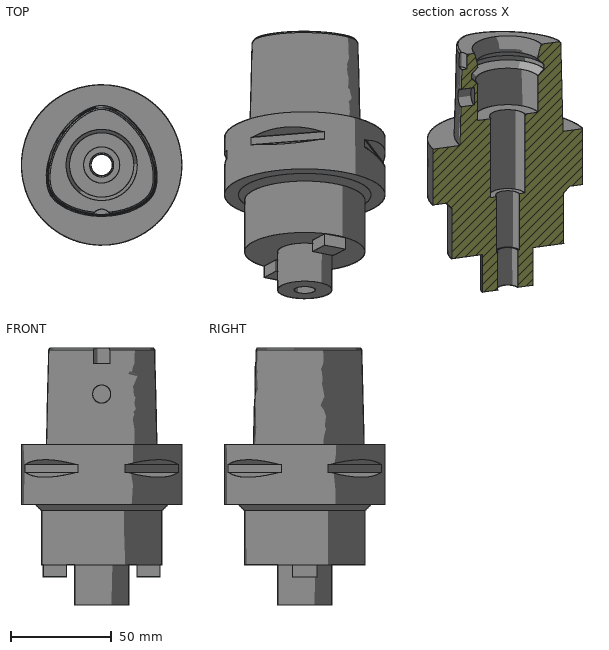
import math

import cadquery as cq


shank_length = 48.0
shank_base_radius = 27.6
lobe_count = 3
lobe_height = 2.0
taper_per_side = 1 / 40
rim_bevel_height = 1.0
rim_bevel_width = 0.75
profile_points = 72

flange_radius = 40.0
flange_length = 30.0
body_radius = 30.0
shoulder_bevel = 3.0
body_bottom = -60.0
pilot_radius = 13.5
pilot_length = 20.0
pilot_bottom = body_bottom - pilot_length

key_width = 12.0
key_height = 6.0
key_inner = 17.5
key_outer = 29.1

groove_count = 4
groove_height = 4.0
groove_center_z = -12.0
groove_floor_radius = 35.3
groove_flare_radius = 35.9
groove_flare_angle = 30.0

bore_radius = 16.0
mouth_depth = 6.4
mouth_angle = 15.0
lip_depth = 7.9
undercut_radius = 19.2
undercut_wall = 2.3
bore_depth = 36.0
bolt_radius = 9.0
bolt_bottom = -flange_length
pilot_bore_radius = 6.0
pilot_bore_bottom = body_bottom
through_radius = 5.25

notch_radius = 4.8
notch_depth = 7.8
notch_axis_y = -26.8
side_hole_diameter = 9.0
side_hole_z = 25.0
side_hole_floor_y = -18.0


def polygon_wire(mean_radius, z):
    """Lobed constant-width outline with one lobe pointing to +Y."""

    def point(turn):
        angle = 2 * math.pi * turn
        reach = mean_radius + lobe_height * math.cos(lobe_count * angle)
        reach_slope = -lobe_count * lobe_height * math.sin(lobe_count * angle)
        along = reach * math.cos(angle) - reach_slope * math.sin(angle)
        across = reach * math.sin(angle) + reach_slope * math.cos(angle)
        return (-across, along, z)

    points = [cq.Vector(*point(i / profile_points)) for i in range(profile_points)]
    return cq.Wire.assembleEdges([cq.Edge.makeSpline(points, periodic=True)])


def polygon_frustum(lower_radius, lower_z, upper_radius, upper_z):
    lower = polygon_wire(lower_radius, lower_z)
    upper = polygon_wire(upper_radius, upper_z)
    return cq.Workplane(obj=cq.Solid.makeLoft([lower, upper], True))


def make_shank():
    bevel_z = shank_length - rim_bevel_height
    bevel_radius = shank_base_radius - taper_per_side * bevel_z
    cone = polygon_frustum(shank_base_radius, 0, bevel_radius, bevel_z)
    rim = polygon_frustum(bevel_radius, bevel_z, bevel_radius - rim_bevel_width, shank_length)
    return cone.union(rim)


def make_turned_body():
    outline = [
        (0, 0),
        (flange_radius, 0),
        (flange_radius, -flange_length),
        (body_radius + shoulder_bevel, -flange_length),
        (body_radius, -flange_length - shoulder_bevel),
        (body_radius, body_bottom),
        (pilot_radius, body_bottom),
        (pilot_radius, pilot_bottom),
        (0, pilot_bottom),
    ]
    return cq.Workplane("XZ").polyline(outline).close().revolve(360, (0, 0), (0, 1))


def make_keys():
    key_length = key_outer - key_inner
    key_center = (key_outer + key_inner) / 2
    return (
        cq.Workplane("XY", origin=(0, 0, body_bottom))
        .pushPoints([(-key_center, 0), (key_center, 0)])
        .rect(key_length, key_width)
        .extrude(-key_height)
    )


def make_bore():
    mouth_radius = bore_radius + mouth_depth * math.tan(math.radians(mouth_angle))
    undercut_step = undercut_radius - bore_radius
    undercut_top = shank_length - lip_depth - undercut_step
    undercut_bottom = undercut_top - undercut_wall
    bore_floor = shank_length - bore_depth
    outline = [
        (0, shank_length),
        (mouth_radius, shank_length),
        (bore_radius, shank_length - mouth_depth),
        (bore_radius, shank_length - lip_depth),
        (undercut_radius, undercut_top),
        (undercut_radius, undercut_bottom),
        (bore_radius, undercut_bottom - undercut_step),
        (bore_radius, bore_floor),
        (bolt_radius, bore_floor),
        (bolt_radius, bolt_bottom),
        (pilot_bore_radius, bolt_bottom),
        (pilot_bore_radius, pilot_bore_bottom),
        (through_radius, pilot_bore_bottom),
        (through_radius, pilot_bottom),
        (0, pilot_bottom),
    ]
    return cq.Workplane("XZ").polyline(outline).close().revolve(360, (0, 0), (0, 1))


def make_gripper_groove():
    """Straight groove across the +X side, with a short flat-sided floor and a flared mouth."""
    half_floor = groove_height / 2
    flare_rise = (flange_radius - groove_flare_radius) * math.tan(math.radians(groove_flare_angle))
    half_mouth = half_floor + flare_rise
    outline = [
        (groove_floor_radius, -half_floor),
        (groove_flare_radius, -half_floor),
        (flange_radius, -half_mouth),
        (flange_radius, half_mouth),
        (groove_flare_radius, half_floor),
        (groove_floor_radius, half_floor),
    ]
    return (
        cq.Workplane("XZ", origin=(0, 0, groove_center_z))
        .polyline(outline)
        .close()
        .extrude(flange_radius, both=True)
    )


def make_notch():
    return (
        cq.Workplane("XY", origin=(0, notch_axis_y, shank_length))
        .circle(notch_radius)
        .extrude(-notch_depth)
    )


def make_side_hole():
    return (
        cq.Workplane("XZ", origin=(0, side_hole_floor_y, side_hole_z))
        .circle(side_hole_diameter / 2)
        .extrude(flange_radius + side_hole_floor_y)
    )


result = make_turned_body().union(make_shank()).union(make_keys()).cut(make_bore())

groove = make_gripper_groove()
groove_pitch = 360 / groove_count
for index in range(groove_count):
    groove_angle = groove_pitch * (index + 0.5)
    result = result.cut(groove.rotate((0, 0, 0), (0, 0, 1), groove_angle))

result = result.cut(make_notch()).cut(make_side_hole())